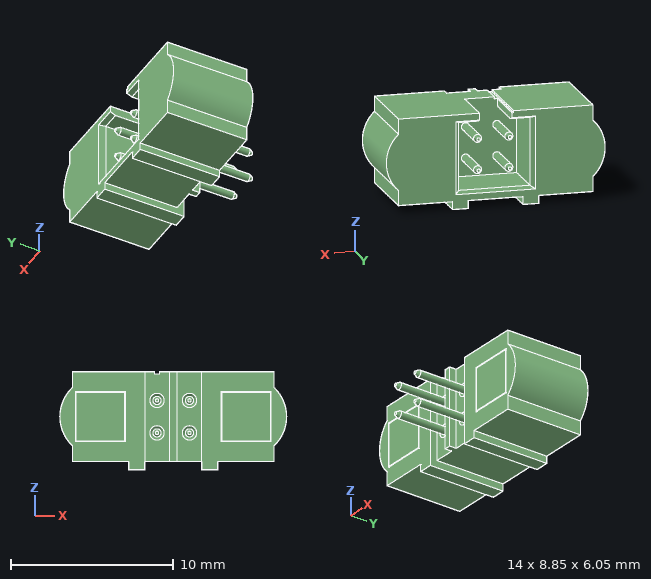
import cadquery as cq


OVERALL_WIDTH = 14.0
BLOCK_WIDTH = 12.45
BLOCK_DEPTH = 5.6
BLOCK_HEIGHT = 5.55
BULGE_CHORD = 3.6

RECESS_WIDTH = 3.5
RECESS_DEPTH = 0.5
RIB_WIDTH = 0.46
FOOT_WIDTH = 1.01
FOOT_HEIGHT = 0.5

SOCKET_WIDTH = 4.56
SOCKET_HEIGHT = 4.34
SOCKET_DEPTH = 3.43
MOUTH_WIDTH = 5.1
MOUTH_HEIGHT = 4.66
FLARE_DEPTH = 0.36
KEYWAY_WIDTH = 2.09
MARK_WIDTH = 0.3
MARK_DEPTH = 0.13

PIN_PITCH = 2.0
PIN_DIAMETER = 0.5
PIN_PROTRUSION = 3.25
PIN_SETBACK = 0.34
TIP_LENGTH = 0.27
TIP_DIAMETER = 0.21
COUNTERSINK_DIAMETER = 0.88
COUNTERSINK_DEPTH = 0.2

MAGNET_SIZE = 3.0
MAGNET_OFFSET = 4.5
POCKET_SIZE = 3.1

HALF_HEIGHT = BLOCK_HEIGHT / 2
PIN_LENGTH = PIN_PROTRUSION + BLOCK_DEPTH - PIN_SETBACK
SOCKET_FLOOR = BLOCK_DEPTH - SOCKET_DEPTH
PIN_PLACES = [(x * PIN_PITCH / 2, z * PIN_PITCH / 2) for x in (-1, 1) for z in (-1, 1)]
MAGNET_PLACES = [-MAGNET_OFFSET, MAGNET_OFFSET]


def section(y):
    """Cross-section plane at y, extruding toward +Y; its local axes are -X and Z."""
    return cq.Workplane(cq.Plane(origin=(0, y, 0), xDir=(-1, 0, 0), normal=(0, 1, 0)))


def box(width, depth, height, x=0.0, y=0.0, z=0.0):
    """Box centred on x and z, starting at y."""
    return (
        cq.Workplane("XY")
        .box(width, depth, height, centered=(True, False, True))
        .translate((x, y, z))
    )


def block_with_round_ends():
    half_width = BLOCK_WIDTH / 2
    half_chord = BULGE_CHORD / 2
    half_overall = OVERALL_WIDTH / 2
    return (
        section(0)
        .moveTo(-half_width, -HALF_HEIGHT)
        .lineTo(half_width, -HALF_HEIGHT)
        .lineTo(half_width, -half_chord)
        .threePointArc((half_overall, 0), (half_width, half_chord))
        .lineTo(half_width, HALF_HEIGHT)
        .lineTo(-half_width, HALF_HEIGHT)
        .lineTo(-half_width, half_chord)
        .threePointArc((-half_overall, 0), (-half_width, -half_chord))
        .close()
        .extrude(BLOCK_DEPTH)
    )


def foot(side):
    """Rail under the block, flush with one side of the central recess."""
    x = side * (RECESS_WIDTH + FOOT_WIDTH) / 2
    return box(FOOT_WIDTH, BLOCK_DEPTH, FOOT_HEIGHT, x=x, z=-HALF_HEIGHT - FOOT_HEIGHT / 2)


def recess():
    opening = box(RECESS_WIDTH, RECESS_DEPTH, BLOCK_HEIGHT)
    rib = box(RIB_WIDTH, RECESS_DEPTH, BLOCK_HEIGHT)
    return opening.cut(rib)


def socket():
    cavity = box(SOCKET_WIDTH, SOCKET_DEPTH, SOCKET_HEIGHT, y=SOCKET_FLOOR)
    flare = (
        section(BLOCK_DEPTH - FLARE_DEPTH)
        .rect(SOCKET_WIDTH, SOCKET_HEIGHT)
        .workplane(offset=FLARE_DEPTH)
        .rect(MOUTH_WIDTH, MOUTH_HEIGHT)
        .loft(ruled=True)
    )
    return cavity.union(flare)


def keyway():
    """Slot through the roof of the socket."""
    return box(KEYWAY_WIDTH, SOCKET_DEPTH, HALF_HEIGHT, y=SOCKET_FLOOR, z=HALF_HEIGHT / 2)


def first_pin_mark():
    """Shallow groove along the top, above the first column of pins."""
    return box(MARK_WIDTH, BLOCK_DEPTH, MARK_DEPTH, x=-PIN_PITCH / 2, z=HALF_HEIGHT - MARK_DEPTH / 2)


def pin_hole(x, z):
    """Pin hole through the socket floor, countersunk on the recess side."""
    hole = (
        section(RECESS_DEPTH)
        .circle(PIN_DIAMETER / 2)
        .extrude(SOCKET_FLOOR - RECESS_DEPTH)
    )
    countersink = (
        section(RECESS_DEPTH)
        .circle(COUNTERSINK_DIAMETER / 2)
        .workplane(offset=COUNTERSINK_DEPTH)
        .circle(PIN_DIAMETER / 2)
        .loft()
    )
    return hole.union(countersink).translate((x, 0, z))


def make_housing():
    housing = block_with_round_ends()
    for side in (-1, 1):
        housing = housing.union(foot(side))
    housing = housing.cut(recess()).cut(socket()).cut(keyway()).cut(first_pin_mark())
    for x, z in PIN_PLACES:
        housing = housing.cut(pin_hole(x, z))
    for x in MAGNET_PLACES:
        housing = housing.cut(box(POCKET_SIZE, MAGNET_SIZE, POCKET_SIZE, x=x))
    return housing


def make_pin(x, z):
    """Round pin along Y with a blunt conical tip at each end."""
    return (
        section(-PIN_PROTRUSION)
        .circle(PIN_DIAMETER / 2)
        .extrude(PIN_LENGTH)
        .faces("<Y or >Y")
        .chamfer(TIP_LENGTH, (PIN_DIAMETER - TIP_DIAMETER) / 2)
        .translate((x, 0, z))
    )


def make_magnet(x):
    """Cube magnet flush with the soldering face."""
    return box(MAGNET_SIZE, MAGNET_SIZE, MAGNET_SIZE, x=x)


housing = make_housing()
pins = [make_pin(x, z) for x, z in PIN_PLACES]
magnets = [make_magnet(x) for x in MAGNET_PLACES]

result = cq.Compound.makeCompound(
    [housing.val()] + [pin.val() for pin in pins] + [magnet.val() for magnet in magnets]
)